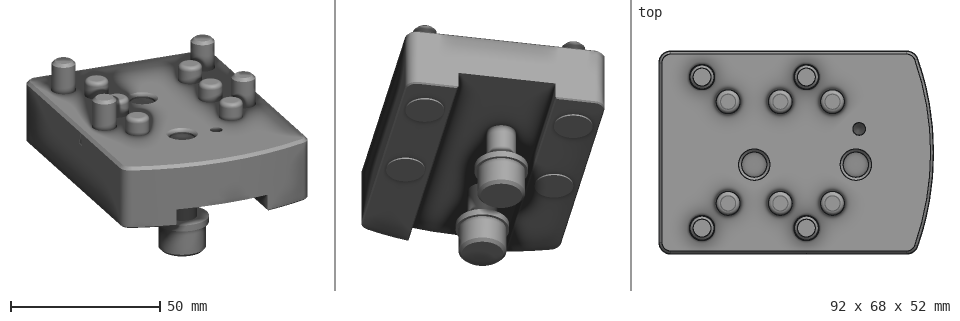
import cadquery as cq
import math


plate_length = 92.0
plate_width = 68.0
plate_height = 22.0
end_radius = 95.0
corner_radius = 4.0
top_chamfer = 1.0
bottom_chamfer = 0.5
slot_width = 33.1
slot_roof_depth = 16.0

stud_diameter = 8.0
stud_height = 6.0
stud_edge_radius = 1.5
stud_pitch = 17.5
stud_first_x = 23.2
stud_y = 17.0
stud_points = [
    (stud_first_x + column * stud_pitch, side * stud_y) for column in range(3) for side in (-1, 1)
]

riser_diameter = 8.0
riser_clearance_diameter = 8.5
riser_rise = 10.5
riser_length = 25.0
riser_head_diameter = 13.0
riser_head_height = 8.0
riser_tip_chamfer = 1.0
riser_y = 25.3
riser_first_x = stud_first_x - stud_pitch / 2
riser_points = [
    (riser_first_x + column * 2 * stud_pitch, side * riser_y) for column in range(2) for side in (-1, 1)
]
riser_seat_z = riser_rise - riser_length

clamp_diameter = 10.0
clamp_length = 30.0
clamp_head_diameter = 16.0
clamp_head_height = 9.8
clamp_head_chamfer = 1.0
clamp_tip_depth = 1.7
clamp_mouth_diameter = 8.5
clamp_mouth_chamfer = 1.0
washer_diameter = 17.9
washer_thickness = 2.2
clamp_pitch = 34.0
clamp_first_x = 31.9
clamp_y = -4.05
clamp_points = [(clamp_first_x + index * clamp_pitch, clamp_y) for index in range(2)]
clamp_head_z = -clamp_tip_depth - clamp_length

drill_diameter = 4.2
drill_depth = 10.0
drill_point_angle = 140.0
drill_x = 67.1
drill_y = 7.9

mark_width = 2.2
mark_height = 4.2
mark_depth = 0.2
mark_x = riser_first_x + 2 * stud_pitch


def cylinder(diameter, bottom_z, top_z, point):
    return cq.Workplane("XY", origin=(*point, bottom_z)).circle(diameter / 2).extrude(top_z - bottom_z)


def plate_block():
    half_width = plate_width / 2
    end_sagitta = end_radius - math.sqrt(end_radius**2 - half_width**2)
    shoulder_x = plate_length - end_sagitta
    block = (
        cq.Workplane("XY", origin=(0, 0, -plate_height))
        .moveTo(0, -half_width)
        .lineTo(shoulder_x, -half_width)
        .threePointArc((plate_length, 0), (shoulder_x, half_width))
        .lineTo(0, half_width)
        .close()
        .extrude(plate_height)
        .edges("|Z")
        .fillet(corner_radius)
    )
    slot = cq.Workplane("XY", origin=(0, 0, -plate_height)).box(
        plate_length, slot_width, plate_height - slot_roof_depth, centered=(False, True, False)
    )
    block = block.faces(">Z").chamfer(top_chamfer)
    return block.cut(slot).faces("<Z").chamfer(bottom_chamfer)


def stud(point):
    return cylinder(stud_diameter, 0, stud_height, point).faces(">Z").edges().fillet(stud_edge_radius)


def riser_hole(point):
    bore = cylinder(riser_clearance_diameter, -plate_height, 0, point)
    counterbore = cylinder(riser_head_diameter, -plate_height, riser_seat_z, point)
    return bore.union(counterbore)


def clamp_hole(point):
    bore = cylinder(clamp_diameter, -plate_height, -clamp_tip_depth, point)
    mouth = cylinder(clamp_mouth_diameter, -clamp_tip_depth, 0, point)
    countersink = (
        cq.Workplane("XY", origin=(*point, 0))
        .circle(clamp_mouth_diameter / 2 + clamp_mouth_chamfer)
        .workplane(offset=-clamp_mouth_chamfer)
        .circle(clamp_mouth_diameter / 2)
        .loft()
    )
    return bore.union(mouth).union(countersink)


def drill_hole():
    radius = drill_diameter / 2
    point_depth = radius / math.tan(math.radians(drill_point_angle / 2))
    return (
        cq.Workplane("XZ", origin=(drill_x, drill_y, 0))
        .polyline([(0, 0), (radius, 0), (radius, -drill_depth), (0, -drill_depth - point_depth)])
        .close()
        .revolve(360, (0, 0), (0, 1))
    )


def index_mark():
    base_z = -top_chamfer - mark_height
    return (
        cq.Workplane("XZ", origin=(mark_x, -plate_width / 2, 0))
        .polyline([(0, -top_chamfer), (-mark_width / 2, base_z), (mark_width / 2, base_z)])
        .close()
        .extrude(-mark_depth)
    )


def build_plate():
    plate = plate_block()
    for point in stud_points:
        plate = plate.union(stud(point))
    for point in riser_points:
        plate = plate.cut(riser_hole(point))
    for point in clamp_points:
        plate = plate.cut(clamp_hole(point))
    return plate.cut(drill_hole()).cut(index_mark())


def build_riser_screw(point):
    shank = cylinder(riser_diameter, riser_seat_z, riser_rise, point).faces(">Z").chamfer(riser_tip_chamfer)
    head = cylinder(riser_head_diameter, riser_seat_z - riser_head_height, riser_seat_z, point)
    return shank.union(head)


def build_clamp_screw(point):
    shank = cylinder(clamp_diameter, clamp_head_z, -clamp_tip_depth, point)
    head = cylinder(clamp_head_diameter, clamp_head_z - clamp_head_height, clamp_head_z, point)
    return shank.union(head.faces("<Z").chamfer(clamp_head_chamfer))


def build_washer(point):
    top_z = clamp_head_z + washer_thickness
    disc = cylinder(washer_diameter, clamp_head_z, top_z, point)
    return disc.cut(cylinder(clamp_diameter, clamp_head_z, top_z, point))


plate = build_plate()
riser_screws = [build_riser_screw(point) for point in riser_points]
clamp_screws = [build_clamp_screw(point) for point in clamp_points]
washers = [build_washer(point) for point in clamp_points]

bodies = [plate, *riser_screws, *clamp_screws, *washers]
result = cq.Compound.makeCompound([body.val() for body in bodies])